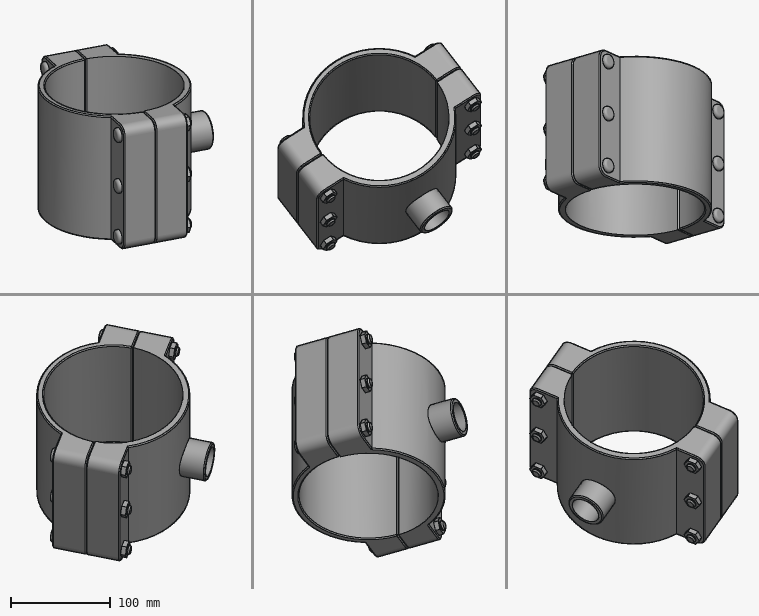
import cadquery as cq

height = 136.0
bore_radius = 70.0
ring_radius = 77.0
flange_width = 201.0
flange_thickness = 35.2
flange_corner_radius = 10.0
edge_chamfer = 1.2

branch_end_y = 100.7
branch_diameter = 39.4
socket_diameter = 30.4
passage_diameter = 25.0
socket_floor_y = 80.0

bolt_x = flange_width / 2 - 12.0
bolt_spacing = 56.0
head_diameter = 15.0
head_height = 4.0
head_fillet = 3.0
nut_across_flats = 15.0
nut_height = 5.0
nut_turn = 30.0
shank_diameter = 10.0
shank_tip_length = 3.0
tip_chamfer_length = 1.8
tip_chamfer_width = 1.2


def y_cylinder(diameter, start_y, end_y):
    """Cylinder along +Y, centred on the Y axis."""
    base = cq.Workplane("XZ", origin=(0, start_y, 0))
    return base.circle(diameter / 2).extrude(start_y - end_y)


def z_cylinder(radius):
    """Full-height cylinder centred on the Z axis."""
    return cq.Workplane("XY").circle(radius).extrude(height / 2, both=True)


def is_rim(edge, radius):
    """True for an arc of the given radius lying on the top or bottom face."""
    if edge.geomType() != "CIRCLE":
        return False
    on_end_face = abs(abs(edge.Center().z) - height / 2) < edge_chamfer
    return on_end_face and abs(edge.radius() - radius) < edge_chamfer


def is_chamfered(edge, chamfer_bore):
    """Split-face outline, flange-face outline, ring rims and, if asked, bore rims."""
    if is_rim(edge, ring_radius):
        return True
    if is_rim(edge, bore_radius):
        return chamfer_bore
    box = edge.BoundingBox()
    lies_in_xz_plane = box.ylen < edge_chamfer
    on_split_face = box.ymax < edge_chamfer
    is_inside_corner = box.xlen < edge_chamfer and abs(edge.Center().x) < ring_radius
    return lies_in_xz_plane and (on_split_face or not is_inside_corner)


def half_clamp(chamfer_bore):
    """The +Y half of the clamp, with or without chamfered bore rims."""
    plus_y_side = (True, False, True)
    half_space = cq.Workplane("XY").box(flange_width, flange_width, height, centered=plus_y_side)
    flanges = (
        cq.Workplane("XY")
        .box(flange_width, flange_thickness, height, centered=plus_y_side)
        .edges("|Y")
        .fillet(flange_corner_radius)
    )
    half_ring = z_cylinder(ring_radius).intersect(half_space)
    half_bore = z_cylinder(bore_radius).intersect(half_space)
    half = half_ring.union(flanges).cut(half_bore)
    return half.edges().filter(lambda edge: is_chamfered(edge, chamfer_bore)).chamfer(edge_chamfer)


def add_branch(clamp):
    """Branch pipe with a narrow passage into the bore and a wider socket outside it."""
    pipe = y_cylinder(branch_diameter, 0, branch_end_y).faces(">Y").chamfer(edge_chamfer)
    pipe = pipe.cut(z_cylinder((bore_radius + ring_radius) / 2))
    passage = y_cylinder(passage_diameter, 0, branch_end_y)
    socket = y_cylinder(socket_diameter, socket_floor_y, branch_end_y)
    return clamp.union(pipe).cut(passage).cut(socket)


def make_bolt():
    """Domed head on the -Y flange face, hexagonal nut and shank tip on the +Y one."""
    head = y_cylinder(head_diameter, -flange_thickness - head_height, -flange_thickness)
    head = head.faces("<Y").edges().fillet(head_fillet)
    nut = (
        cq.Workplane("XZ", origin=(0, flange_thickness, 0))
        .transformed(rotate=(0, 0, nut_turn))
        .polygon(6, nut_across_flats, circumscribed=True)
        .extrude(-nut_height)
    )
    tip_end_y = flange_thickness + nut_height + shank_tip_length
    shank = y_cylinder(shank_diameter, -flange_thickness, tip_end_y)
    shank = shank.faces(">Y").chamfer(tip_chamfer_length, tip_chamfer_width)
    return head.union(shank).union(nut)


front_half = half_clamp(chamfer_bore=True).mirror("XZ")
rear_half = half_clamp(chamfer_bore=False)
result = add_branch(rear_half.union(front_half))

bolt = make_bolt()
for side in (-1, 1):
    for level in (-1, 0, 1):
        result = result.union(bolt.translate((side * bolt_x, 0, level * bolt_spacing)))